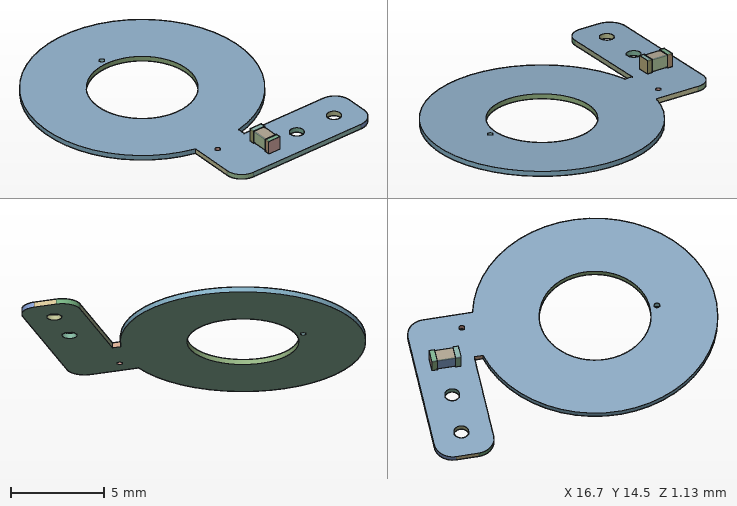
import cadquery as cq

board_thickness = 0.3
ring_diameter = 13.16
bore_diameter = 6.0

overall_length = 16.7
tab_right = overall_length - ring_diameter / 2
tab_width = 3.24
tab_middle = tab_right - tab_width / 2
tab_top = 7.92
neck_width = 2.97
neck_half = neck_width / 2
corner_radius = 1.0

pin_hole_diameter = 0.8
pin_hole_count = 2
pin_hole_pitch = 2.55
pin_hole_x = 8.53
pin_hole_top_y = 6.33
pin_hole_points = [(pin_hole_x, pin_hole_top_y - i * pin_hole_pitch) for i in range(pin_hole_count)]

via_diameter = 0.3
via_points = [(-3.39, -0.05), (7.16, -0.57)]

chip_length = 1.6
chip_width = 0.78
chip_height = 0.8
cap_length = 0.3
core_inset = 0.03
chip_edge_radius = 0.025
chip_gap = 0.03
chip_y = 1.62
chip_bottom = board_thickness + chip_gap


def make_board():
    """Ring and tab in one sheet, with the bore, pin holes and vias cut through."""
    ring = cq.Workplane("XY").circle(ring_diameter / 2).extrude(board_thickness)
    neck = (
        cq.Workplane("XY")
        .rect(tab_right, neck_width)
        .extrude(board_thickness)
        .translate((tab_right / 2, 0, 0))
    )
    arm_length = tab_top + neck_half
    arm = (
        cq.Workplane("XY")
        .rect(tab_width, arm_length)
        .extrude(board_thickness)
        .translate((tab_middle, tab_top - arm_length / 2, 0))
    )
    tab = neck.union(arm)
    tab = tab.edges("|Z and (>X or >Y)").fillet(corner_radius)
    board = ring.union(tab)
    board = cut_holes(board, [(0, 0)], bore_diameter)
    board = cut_holes(board, pin_hole_points, pin_hole_diameter)
    return cut_holes(board, via_points, via_diameter)


def cut_holes(board, points, diameter):
    """Round holes of one size, through the full board thickness."""
    drills = cq.Workplane("XY").pushPoints(points).circle(diameter / 2).extrude(board_thickness)
    return board.cut(drills)


def rounded_block(length, width, height):
    """Block centred on the origin, with its four edges along X slightly rounded."""
    return cq.Workplane("XY").box(length, width, height).edges("|X").fillet(chip_edge_radius)


def make_chip():
    """Core and both end caps as one solid."""
    core_length = chip_length - 2 * cap_length
    core_width = chip_width - 2 * core_inset
    core_height = chip_height - 2 * core_inset
    chip = rounded_block(core_length, core_width, core_height)
    cap_offset = (chip_length - cap_length) / 2
    for side in (-1, 1):
        cap = rounded_block(cap_length, chip_width, chip_height)
        chip = chip.union(cap.translate((side * cap_offset, 0, 0)))
    return chip.translate((tab_middle, chip_y, chip_bottom + chip_height / 2))


board = make_board()
chip = make_chip()

result = cq.Compound.makeCompound([board.val(), chip.val()])